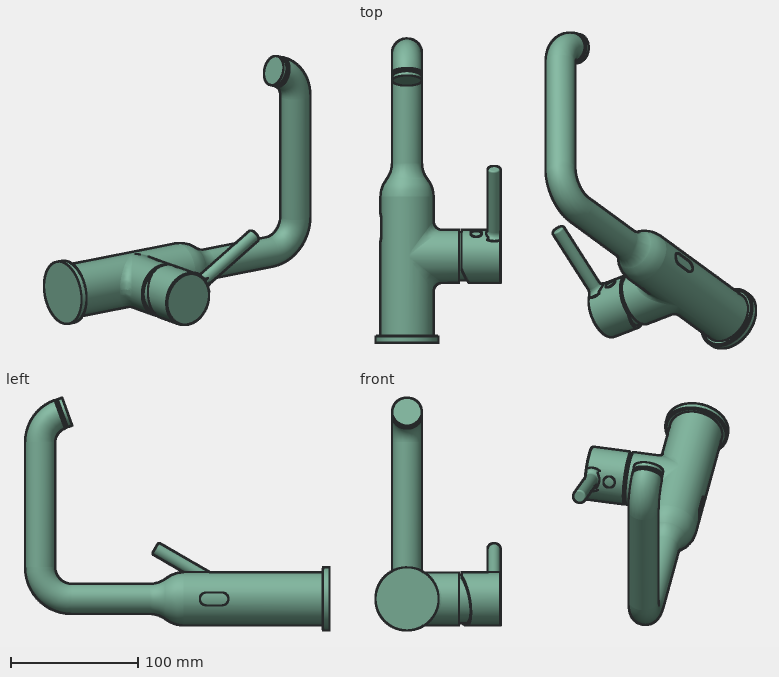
import cadquery as cq
import math


flange_radius = 25.0
flange_height = 5.0
collar_radius = 23.7
collar_top = 5.7
body_radius = 21.0
shoulder_start = 114.7
shoulder_bend = 128.5
shoulder_end = 140.8

tube_radius = 12.0
total_reach = 239.5
spout_y = total_reach - tube_radius
lower_bend_radius = 25.0
upper_bend_start = 123.0
upper_bend_radius = 23.5
upper_bend_angle = 70
outlet_length = 6.2
outlet_radius = 11.7
outlet_groove_start = 1.7
outlet_groove_width = 0.7
outlet_groove_depth = 0.7

branch_y = 68.0
branch_step = 0.12
branch_radius = body_radius - branch_step
branch_blend = 6.5
cap_radius = body_radius
cap_end = 74.0
cap_chamfer = 0.7
core_radius = 19.2
overlap = 2.5
gap_start = 41.0
gap_width = 2.0
gap_end = gap_start + gap_width
relief_angle = 20

lever_tilt = 30
lever_radius = 5.3
lever_inset = 0.2
lever_x = cap_end - lever_inset - lever_radius
lever_length = 79.7
lever_tip_fillet = 1.5
lever_root_blend = 4.3
lever_root_sink = 1.5

marking_depth = 0.5
window_length = 22.5
window_width = 10.0
window_y = 90.7
dot_x = 54.3
dot_radius = 4.5

branch_plane = cq.Plane(origin=(0, branch_y, 0), xDir=(0, 1, 0), normal=(1, 0, 0))
tilt = math.radians(lever_tilt)
lever_direction = (0, math.cos(tilt), math.sin(tilt))


def arc_point(center, radius, degrees):
    angle = math.radians(degrees)
    return (center[0] + radius * math.cos(angle), center[1] + radius * math.sin(angle))


def branch_cylinder(start, end, radius):
    return cq.Workplane(branch_plane).workplane(offset=start).circle(radius).extrude(end - start)


def lever_plane(x):
    """Plane through the branch axis whose normal is the lever direction."""
    return cq.Plane(origin=(x, branch_y, 0), xDir=(1, 0, 0), normal=lever_direction)


def lever_side_plane(x):
    """Plane whose local X is the branch axis and local Y is the lever direction."""
    return cq.Plane(origin=(x, branch_y, 0), xDir=(1, 0, 0), normal=(0, -math.sin(tilt), math.cos(tilt)))


def make_column():
    """Body and branch, blended where the two tubes meet."""
    column = cq.Workplane("XZ").circle(body_radius).extrude(-shoulder_start)
    column = column.union(branch_cylinder(0, gap_start, branch_radius))
    seam_zone = cq.selectors.BoxSelector(
        (-overlap, branch_y - body_radius - overlap, -body_radius - overlap),
        (body_radius + overlap, branch_y + body_radius + overlap, body_radius + overlap),
    )
    return column.edges(seam_zone).fillet(branch_blend)


def make_base():
    flange = cq.Workplane("XZ").circle(flange_radius).extrude(-flange_height)
    collar = cq.Workplane("XZ").circle(collar_radius).extrude(-collar_top)
    return flange.union(collar)


def make_shoulder():
    """Ogee from the body down to the spout tube: a convex arc, then a concave one."""
    convex_length = shoulder_bend - shoulder_start
    total_length = shoulder_end - shoulder_start
    bend_radius = body_radius - (body_radius - tube_radius) * convex_length / total_length
    drop = body_radius - bend_radius
    arc_radius = (convex_length**2 + drop**2) / (2 * drop)
    half_angle = math.asin(convex_length / arc_radius) / 2
    convex_mid = (
        body_radius - arc_radius * (1 - math.cos(half_angle)),
        shoulder_start + arc_radius * math.sin(half_angle),
    )
    concave_radius = arc_radius * (total_length - convex_length) / convex_length
    concave_mid = (
        tube_radius + concave_radius * (1 - math.cos(half_angle)),
        shoulder_end - concave_radius * math.sin(half_angle),
    )
    profile = (
        cq.Workplane("XY")
        .moveTo(0, shoulder_start)
        .lineTo(body_radius, shoulder_start)
        .threePointArc(convex_mid, (bend_radius, shoulder_bend))
        .threePointArc(concave_mid, (tube_radius, shoulder_end))
        .lineTo(0, shoulder_end)
        .close()
    )
    return profile.revolve(360, (0, 0, 0), (0, 1, 0))


def make_spout():
    lower_center = (spout_y - lower_bend_radius, lower_bend_radius)
    upper_center = (spout_y - upper_bend_radius, upper_bend_start)
    bend_end = arc_point(upper_center, upper_bend_radius, upper_bend_angle)
    path = (
        cq.Workplane("YZ")
        .moveTo(shoulder_end, 0)
        .lineTo(lower_center[0], 0)
        .threePointArc(arc_point(lower_center, lower_bend_radius, -45), (spout_y, lower_bend_radius))
        .lineTo(spout_y, upper_bend_start)
        .threePointArc(arc_point(upper_center, upper_bend_radius, upper_bend_angle / 2), bend_end)
    )
    tube = cq.Workplane("XZ", origin=(0, shoulder_end, 0)).circle(tube_radius).sweep(path)

    bend = math.radians(upper_bend_angle)
    outlet_plane = cq.Plane(
        origin=(0, *bend_end), xDir=(1, 0, 0), normal=(0, -math.sin(bend), math.cos(bend))
    )
    outlet = cq.Workplane(outlet_plane).circle(outlet_radius).extrude(outlet_length)
    groove = (
        cq.Workplane(outlet_plane)
        .workplane(offset=outlet_groove_start)
        .circle(tube_radius)
        .circle(outlet_radius - outlet_groove_depth)
        .extrude(outlet_groove_width)
    )
    return tube.union(outlet.cut(groove))


def make_cap():
    """Lever cap with its inner face sloped away on the side opposite the lever."""
    cap = branch_cylinder(gap_end, cap_end, cap_radius).faces(">X").chamfer(cap_chamfer)
    reach = 2 * cap_radius
    relief = (
        cq.Workplane(lever_side_plane(0))
        .moveTo(gap_end, 0)
        .lineTo(gap_end, -reach)
        .lineTo(gap_end + reach * math.tan(math.radians(relief_angle)), -reach)
        .close()
        .extrude(reach, both=True)
    )
    core = branch_cylinder(gap_start - overlap, cap_end - overlap, core_radius)
    return cap.cut(relief).union(core)


def make_lever():
    lever = cq.Workplane(lever_plane(lever_x)).circle(lever_radius).extrude(lever_length)
    lever = lever.faces(cq.selectors.DirectionMinMaxSelector(cq.Vector(*lever_direction), True))
    lever = lever.edges().fillet(lever_tip_fillet)
    root_start = cap_radius - lever_root_sink
    root_end = root_start + lever_root_blend
    arc_mid = arc_point((lever_radius + lever_root_blend, root_end), lever_root_blend, 225)
    root = (
        cq.Workplane(lever_side_plane(lever_x))
        .moveTo(0, 0)
        .lineTo(lever_radius, 0)
        .lineTo(lever_radius + lever_root_blend, root_start)
        .threePointArc(arc_mid, (lever_radius, root_end))
        .lineTo(0, root_end)
        .close()
        .revolve(360, (0, 0, 0), (0, 1, 0))
    )
    root = root.intersect(branch_cylinder(0, cap_end - cap_chamfer, 2 * cap_radius))
    return lever.union(root)


def make_markings():
    """Shallow recesses: a long window on the body and a round dot on the cap."""
    window = (
        cq.Workplane("YZ", origin=(-body_radius - overlap, window_y, 0))
        .slot2D(window_length, window_width)
        .extrude(body_radius)
    )
    window = window.cut(cq.Workplane("XZ").circle(body_radius - marking_depth).extrude(-shoulder_start))
    dot = cq.Workplane(lever_plane(dot_x)).circle(dot_radius).extrude(cap_radius + overlap)
    dot = dot.cut(branch_cylinder(0, cap_end, cap_radius - marking_depth))
    return window.union(dot)


result = (
    make_column()
    .union(make_base())
    .union(make_shoulder())
    .union(make_spout())
    .union(make_cap())
    .union(make_lever())
    .cut(make_markings())
)